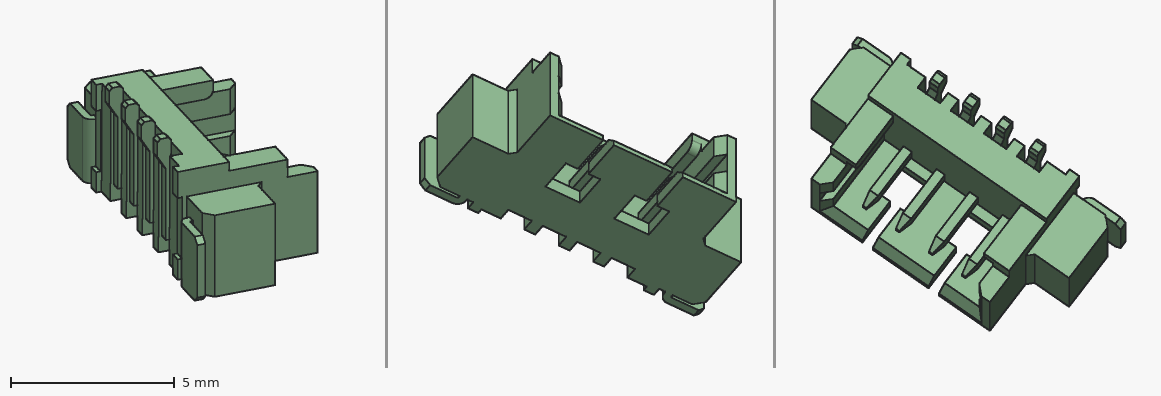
import cadquery as cq
import math


pin_count = 4
pin_pitch = 1.25
pin_width = 0.32
pin_top_z = 4.2
pin_bottom_z = 0.7
pin_thickness = 0.46
tail_setback = 0.28
tail_bevel_start_z = 3.6
tail_bevel_end_z = 3.14
tail_chamfer = 0.1
pin_tip_y = 4.05
pin_taper_length = 0.49
pin_tip_width = 0.13

body_width = 6.75
body_depth = 4.75
rib_top_front_y = 0.3
rib_foot_front_y = 0.28
back_y = 1.81
arm_end_y = 3.75
body_height = 3.7
arm_height = 3.4
side_height = 2.8

channel_width = 0.85
channel_floor_y = 0.71
strip_width = 0.375
strip_front_y = 0.25
pad_front_y = 0.1
pad_height = pin_bottom_z

cavity_half_width = 2.76
cavity_floor_z = 0.5
arm_inner_x = 2.42
arm_corner_radius = 0.3
mouth_chamfer = 0.3
groove_bottom_z = 1.19
groove_height = 0.75
groove_depth = 0.3

window_width = pin_pitch
window_start_y = 2.15
window_end_y = 3.31
slot_width = 0.39

wing_outer_x = 4.875
wing_front_y = 0.4
wing_back_y = 2.7
wing_front_chamfer = 0.3
wing_root_chamfer = 0.2
tab_inner_x = 3.6
tab_outer_x = 5.075
tab_front_y = 0.03
tab_thickness = 0.27
tab_bend_radius = 0.3
tab_height = 2.2
tab_chamfer = 0.2

half_width = body_width / 2
pin_positions = [(i - (pin_count - 1) / 2) * pin_pitch for i in range(pin_count)]
window_positions = [-pin_pitch, pin_pitch]


def block(x0, x1, y0, y1, z0, z1):
    """Box between opposite corners."""
    return cq.Workplane("XY").box(x1 - x0, y1 - y0, z1 - z0, centered=False).translate((x0, y0, z0))


def both_sides(solid):
    """The solid together with its mirror image across the YZ plane."""
    return solid.union(solid.mirror("YZ"))


def extrude_along_x(profile, x0, x1):
    """Extrude a closed (y, z) polyline from x0 to x1."""
    return cq.Workplane("YZ").workplane(offset=x0).polyline(profile).close().extrude(x1 - x0)


def make_shell():
    """Stepped housing block with a strip down each front corner, raised at its ends into pads."""
    profile = [
        (rib_foot_front_y, 0),
        (body_depth, 0),
        (body_depth, side_height),
        (arm_end_y, side_height),
        (arm_end_y, arm_height),
        (back_y, arm_height),
        (back_y, body_height),
        (rib_top_front_y, body_height),
    ]
    shell = extrude_along_x(profile, -half_width, half_width)
    strip_inner_x = half_width - strip_width
    strip_sections = [
        (pad_front_y, 0, pad_height),
        (strip_front_y, pad_height, side_height),
        (pad_front_y, side_height, body_height),
    ]
    for front_y, z0, z1 in strip_sections:
        section = block(strip_inner_x, half_width, front_y, back_y, z0, z1)
        shell = shell.union(both_sides(section))
    return shell


def cut_channels(body):
    """Full-height channels in the front face, one behind each solder tail."""
    for x in pin_positions:
        x0 = x - channel_width / 2
        body = body.cut(block(x0, x0 + channel_width, 0, channel_floor_y, 0, body_height))
    return body


def make_cavity():
    """Plug space, open at the top and at +Y, with the side arms overhanging it."""
    lower = block(-cavity_half_width, cavity_half_width, back_y, body_depth, cavity_floor_z, side_height)
    upper = block(-arm_inner_x, arm_inner_x, back_y, body_depth, side_height, arm_height)
    groove_half_width = cavity_half_width + groove_depth
    groove_top_z = groove_bottom_z + groove_height
    grooves = block(-groove_half_width, groove_half_width, back_y, body_depth, groove_bottom_z, groove_top_z)
    return lower.union(upper).union(grooves).union(make_mouth())


def make_mouth():
    """Flare of the cavity mouth along its floor and both sides."""
    chamfer_start_y = body_depth - mouth_chamfer
    floor_flare = extrude_along_x(
        [
            (chamfer_start_y, cavity_floor_z),
            (body_depth, cavity_floor_z - mouth_chamfer),
            (body_depth, side_height),
            (chamfer_start_y, side_height),
        ],
        -half_width,
        half_width,
    )
    mouth_half_width = cavity_half_width + mouth_chamfer
    side_flare = (
        cq.Workplane("XY")
        .polyline(
            [
                (-cavity_half_width, chamfer_start_y),
                (cavity_half_width, chamfer_start_y),
                (mouth_half_width, body_depth),
                (-mouth_half_width, body_depth),
            ]
        )
        .close()
        .extrude(side_height)
    )
    return floor_flare.intersect(side_flare)


def round_arms(body):
    """Round the lower front corner of the part of each arm that overhangs the cavity."""
    y0 = arm_end_y - arm_corner_radius
    z1 = side_height + arm_corner_radius
    corner = block(arm_inner_x, cavity_half_width, y0, arm_end_y, side_height, z1)
    rounding = (
        cq.Workplane("YZ")
        .workplane(offset=arm_inner_x)
        .center(y0, z1)
        .circle(arm_corner_radius)
        .extrude(cavity_half_width - arm_inner_x)
    )
    return body.cut(both_sides(corner.cut(rounding)))


def cut_floor_openings(body):
    """Windows through the floor, each with a narrower slot running out to the mouth."""
    for x in window_positions:
        x0 = x - window_width / 2
        body = body.cut(block(x0, x0 + window_width, window_start_y, window_end_y, 0, cavity_floor_z))
        x0 = x - slot_width / 2
        body = body.cut(block(x0, x0 + slot_width, window_end_y, body_depth, 0, cavity_floor_z))
    return body


def make_wing():
    """Side wing at +X with a chamfered outer corner and a chamfered root."""
    outline = [
        (half_width, wing_front_y),
        (wing_outer_x - wing_front_chamfer, wing_front_y),
        (wing_outer_x, wing_front_y + wing_front_chamfer),
        (wing_outer_x, wing_back_y),
        (half_width + wing_root_chamfer, wing_back_y),
        (half_width, wing_back_y + wing_root_chamfer),
    ]
    return cq.Workplane("XY").polyline(outline).close().extrude(side_height)


def make_tab():
    """Solder tab at +X: a flat plate bent back into the front of the wing."""
    inner_radius = tab_bend_radius - tab_thickness
    bend_x = tab_inner_x + tab_bend_radius
    bend_y = tab_front_y + tab_bend_radius
    plate_back_y = tab_front_y + tab_thickness
    stem_outer_x = tab_inner_x + tab_thickness
    outer_offset = tab_bend_radius * math.sqrt(0.5)
    inner_offset = inner_radius * math.sqrt(0.5)
    tab = (
        cq.Workplane("XY")
        .moveTo(tab_outer_x, tab_front_y)
        .lineTo(bend_x, tab_front_y)
        .threePointArc((bend_x - outer_offset, bend_y - outer_offset), (tab_inner_x, bend_y))
        .lineTo(tab_inner_x, wing_front_y)
        .lineTo(stem_outer_x, wing_front_y)
        .lineTo(stem_outer_x, bend_y)
        .threePointArc((bend_x - inner_offset, bend_y - inner_offset), (bend_x, plate_back_y))
        .lineTo(tab_outer_x, plate_back_y)
        .close()
        .extrude(tab_height)
    )
    return tab.faces(">X").edges("|Y").chamfer(tab_chamfer)


def make_pin():
    """Pin at X = 0: upright tail stepping back into its channel, then a straight contact."""
    leg_back_y = tail_setback + pin_thickness
    tail_profile = [
        (tail_setback, pin_bottom_z),
        (tail_setback, tail_bevel_end_z),
        (0, tail_bevel_start_z),
        (0, pin_top_z - tail_chamfer),
        (tail_chamfer, pin_top_z),
        (pin_thickness - tail_chamfer, pin_top_z),
        (pin_thickness, pin_top_z - tail_chamfer),
        (pin_thickness, tail_bevel_start_z),
        (leg_back_y, tail_bevel_end_z),
        (leg_back_y, pin_bottom_z),
    ]
    tail = extrude_along_x(tail_profile, -pin_width / 2, pin_width / 2)

    taper_y = pin_tip_y - pin_taper_length
    shaft = block(
        -pin_width / 2,
        pin_width / 2,
        pin_thickness,
        taper_y,
        pin_bottom_z,
        pin_bottom_z + pin_thickness,
    )
    tip = (
        shaft.faces(">Y")
        .workplane(centerOption="CenterOfMass")
        .rect(pin_width, pin_thickness)
        .workplane(offset=pin_taper_length)
        .rect(pin_tip_width, pin_tip_width)
        .loft(combine=False)
    )
    return tail.union(shaft).union(tip)


body = cut_channels(make_shell())
body = body.cut(make_cavity())
body = round_arms(body)
body = cut_floor_openings(body)
body = body.union(both_sides(make_wing().union(make_tab())))

pin = make_pin()
for pin_x in pin_positions:
    body = body.union(pin.translate((pin_x, 0, 0)))

result = body